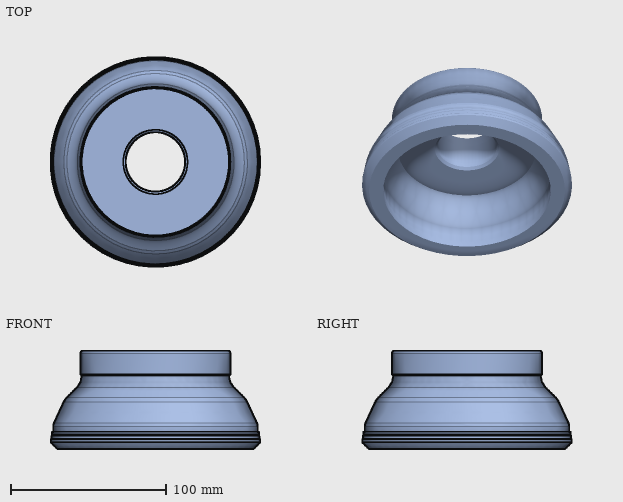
import cadquery as cq
import math

height = 63.5

neck_radius = 48.4
crown_width = 1.0
crown_height = 1.6
neck_bottom = 48.3
relief_depth = 0.8
relief_fillet = 10.0
shoulder_angle = math.radians(45)
shoulder_blend = 10.0
skirt_angle = math.radians(25)
skirt_bottom = 15.9
skirt_height = 16.2
skirt_blend = 5.0
seat_radius = 65.95
hub_bottom = 5.6

bore_radius = 38.1 / 2
bore_entry_radius = bore_radius + 0.2
bore_entry_depth = 7.8
bore_mouth_radius = 20.75
bore_mouth_depth = 0.9
bore_exit_chamfer = 1.6
web_bottom = 36.0

rim_radius = 135.28 / 2
rim_inner_radius = 54.0
rim_top = 11.2
rim_top_radius = 66.75
groove_top = 9.8
groove_bottom = 8.8
groove_depth = 0.25
groove_side = 0.3
taper_bottom = 6.7
taper_bottom_radius = 67.25
lip_top = 6.3
lip_top_radius = 67.5
land_top = hub_bottom
land_bottom = 4.5
bottom_chamfer = land_bottom

relief_radius = neck_radius - relief_depth
relief_top = neck_bottom - relief_depth
skirt_top = skirt_bottom + skirt_height
skirt_top_radius = seat_radius - skirt_height * math.tan(skirt_angle)
shoulder_top = skirt_top + (skirt_top_radius - relief_radius) / math.tan(shoulder_angle)
cavity_top_radius = rim_inner_radius - (web_bottom - skirt_bottom) * math.tan(skirt_angle)
crown_arc_radius = (crown_width**2 + crown_height**2) / (2 * crown_width)


def revolve_profile(profile):
    """Turn a closed radius-height profile around the Z axis."""
    return profile.close().revolve(360, (0, 0), (0, 1))


def round_ring(body, radius, z, size):
    """Round the circular edge of the given radius at height z."""
    margin = 0.05
    reach = radius + margin
    box = cq.selectors.BoxSelector((-reach, -reach, z - margin), (reach, reach, z + margin), boundingbox=True)
    outer_ring = cq.selectors.RadiusNthSelector(-1)
    return body.edges(box).edges(outer_ring).fillet(size)


def make_hub():
    profile = (
        cq.Workplane("XZ")
        .moveTo(bore_mouth_radius, height)
        .lineTo(neck_radius - crown_width, height)
        .radiusArc((neck_radius, height - crown_height), crown_arc_radius)
        .lineTo(neck_radius, neck_bottom)
        .lineTo(relief_radius, relief_top)
        .lineTo(relief_radius, shoulder_top)
        .lineTo(skirt_top_radius, skirt_top)
        .lineTo(seat_radius, skirt_bottom)
        .lineTo(seat_radius, hub_bottom)
        .lineTo(rim_inner_radius, hub_bottom)
        .lineTo(rim_inner_radius, skirt_bottom)
        .lineTo(cavity_top_radius, web_bottom)
        .lineTo(bore_radius + bore_exit_chamfer, web_bottom)
        .lineTo(bore_radius, web_bottom + bore_exit_chamfer)
        .lineTo(bore_radius, height - bore_entry_depth)
        .lineTo(bore_entry_radius, height - bore_entry_depth)
        .lineTo(bore_entry_radius, height - bore_mouth_depth)
    )
    body = revolve_profile(profile)
    body = round_ring(body, relief_radius, shoulder_top, relief_fillet)
    body = round_ring(body, skirt_top_radius, skirt_top, shoulder_blend)
    return round_ring(body, seat_radius, skirt_bottom, skirt_blend)


def taper_radius(z):
    """Radius of the rim's slightly conical upper wall at height z."""
    fraction = (rim_top - z) / (rim_top - taper_bottom)
    return rim_top_radius + fraction * (taper_bottom_radius - rim_top_radius)


def make_rim():
    groove_floor_radius = taper_radius(groove_top) - groove_depth
    profile = (
        cq.Workplane("XZ")
        .moveTo(seat_radius, rim_top)
        .lineTo(rim_top_radius, rim_top)
        .lineTo(taper_radius(groove_top), groove_top)
        .lineTo(groove_floor_radius, groove_top - groove_side)
        .lineTo(groove_floor_radius, groove_bottom + groove_side)
        .lineTo(taper_radius(groove_bottom), groove_bottom)
        .lineTo(taper_bottom_radius, taper_bottom)
        .lineTo(lip_top_radius, lip_top)
        .lineTo(rim_radius, land_top)
        .lineTo(rim_radius, land_bottom)
        .lineTo(rim_radius - bottom_chamfer, 0)
        .lineTo(rim_inner_radius, 0)
        .lineTo(rim_inner_radius, hub_bottom)
        .lineTo(seat_radius, hub_bottom)
    )
    return revolve_profile(profile)


hub = make_hub()
rim = make_rim()
result = cq.Compound.makeCompound([hub.val(), rim.val()])